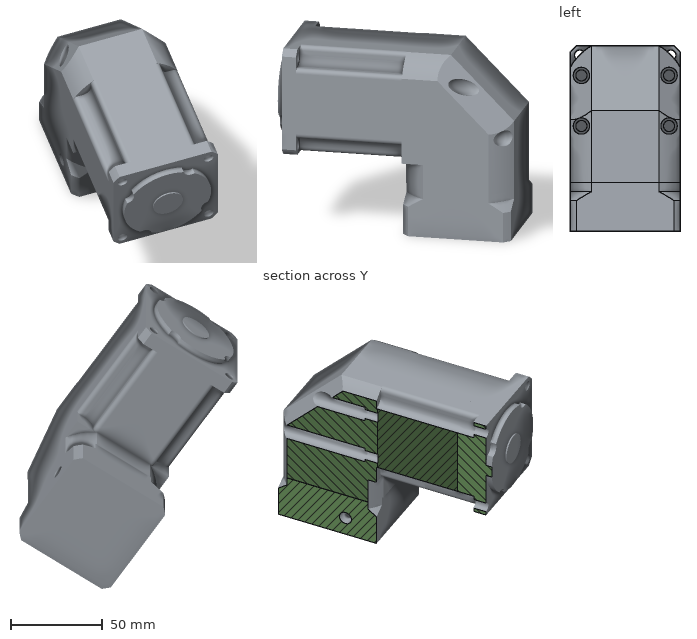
import cadquery as cq
import math


width = 60.0
half = width / 2
total_height = 101.0
axis_height = total_height - half
input_reach = 101.0
input_bottom = axis_height - half

slim_radius = 35.1
flange_radius = 40.0

base_height = 26.5
neck_start = 21.6
foot_height = neck_start - (flange_radius - slim_radius)
side_hole_radius = 3.5
side_hole_x = 10.9
side_hole_z = 11.0
side_hole_depth = 10.5

elbow_face = 30.5
groove_runout = 0.5
slope_run = 35.2
slope_chamfer = half - math.sqrt(slim_radius**2 - half**2)

screw_circle_radius = 27.5
screw_angle = 30.0
elbow_screw_angles = (screw_angle, 180 - screw_angle, 180 + screw_angle, -screw_angle)
head_radius = 4.5
screw_radius = 3.0
head_seat_thickness = 7.9

housing_end = 79.3
plate_start = 89.0
plate_end = 96.8
pilot_end = 100.2
pilot_radius = 25.0
scallop_radius = 4.6
scallop_count = 4
scallop_first_angle = 60.0
hub_radius = 8.5

bolt_inset = 5.2
groove_radius = 5.0
lip_radius = 2.6
groove_reach = bolt_inset + groove_radius
bolt_hole_radius = 2.8


def block(x0, x1, z0, z1):
    """Full-width block between two X and two Z positions."""
    return cq.Workplane("XY").box(x1 - x0, width, z1 - z0, centered=False).translate((x0, -half, z0))


def upright_cylinder(radius, z0, z1):
    return cq.Workplane("XY").workplane(offset=z0).circle(radius).extrude(z1 - z0)


def across_input(x):
    """Workplane square to the input axis at x, centred on that axis: local X is Y, local Y is Z."""
    return cq.Workplane("YZ", origin=(x, 0, axis_height))


def input_cylinder(radius, x0, x1):
    return across_input(x0).circle(radius).extrude(x1 - x0)


def corner_grooves(x0, x1):
    """Stock removed from the four corners of the input square between x0 and x1."""
    wall = half - groove_reach
    bolt = half - bolt_inset
    lip = half - lip_radius
    lip_end = wall - lip_radius
    arc_mid = lip_radius * math.sqrt(0.5)
    groove_mid = bolt - groove_radius * math.sqrt(0.5)
    outline = (
        across_input(x0)
        .moveTo(lip_end, half)
        .threePointArc((lip_end + arc_mid, lip + arc_mid), (wall, lip))
        .lineTo(wall, bolt)
        .threePointArc((groove_mid, groove_mid), (bolt, wall))
        .lineTo(lip, wall)
        .threePointArc((lip + arc_mid, lip_end + arc_mid), (half, lip_end))
        .lineTo(half, half)
        .close()
    )
    groove = outline.extrude(x1 - x0)
    axis_start = (0, 0, axis_height)
    axis_stop = (1, 0, axis_height)
    grooves = groove
    for turn in (90, 180, 270):
        grooves = grooves.union(groove.rotate(axis_start, axis_stop, turn))
    return grooves


def make_base():
    turned = (
        cq.Workplane("XZ")
        .polyline([
            (0, 0),
            (flange_radius, 0),
            (flange_radius, foot_height),
            (slim_radius, neck_start),
            (slim_radius, base_height),
            (0, base_height),
        ])
        .close()
        .revolve(360, (0, 0, 0), (0, 1, 0))
    )
    side_hole = (
        cq.Workplane("XZ", origin=(side_hole_x, -half, side_hole_z))
        .circle(side_hole_radius)
        .extrude(-side_hole_depth)
    )
    return block(-half, half, 0, base_height).intersect(turned).cut(side_hole)


def sloped_envelope():
    """Space under the elbow's slope, with both long edges of the slope chamfered."""
    size = 2 * total_height
    slope_middle = (-half + slope_run / 2, 0, total_height - slope_run / 2)
    slope_plane = cq.Plane(origin=slope_middle, xDir=(0, 1, 0), normal=(-1, 0, 1))
    return (
        cq.Workplane(slope_plane)
        .rect(width, size)
        .extrude(-size)
        .faces(cq.selectors.DirectionNthSelector(cq.Vector(-1, 0, 1), -1))
        .edges(cq.selectors.ParallelDirSelector(cq.Vector(1, 0, 1)))
        .chamfer(slope_chamfer)
    )


def elbow_screw_holes():
    head_seat = elbow_face - head_seat_thickness
    holes = cq.Workplane("XY")
    for angle in elbow_screw_angles:
        y = screw_circle_radius * math.cos(math.radians(angle))
        z = screw_circle_radius * math.sin(math.radians(angle))
        holes = holes.union(input_cylinder(head_radius, -half, head_seat).translate((0, y, z)))
        holes = holes.union(input_cylinder(screw_radius, head_seat, elbow_face).translate((0, y, z)))
    return holes


def make_elbow():
    lower = block(-half, elbow_face, base_height, input_bottom).intersect(
        upright_cylinder(slim_radius, base_height, input_bottom)
    )
    outer = block(-half, 0, input_bottom, total_height).intersect(
        upright_cylinder(slim_radius, input_bottom, total_height)
    )
    upper = outer.union(block(0, elbow_face, input_bottom, total_height))
    top_rounding = input_cylinder(slim_radius, -half, elbow_face).union(
        block(-half, elbow_face, input_bottom, axis_height)
    )
    upper = upper.intersect(top_rounding)
    return (
        lower.union(upper)
        .intersect(sloped_envelope())
        .cut(elbow_screw_holes())
        .cut(corner_grooves(elbow_face - groove_runout, elbow_face))
    )


def make_input_housing():
    housing = block(elbow_face, housing_end, input_bottom, total_height)
    return housing.cut(corner_grooves(elbow_face, housing_end))


def make_pilot():
    pilot = input_cylinder(pilot_radius, plate_end, pilot_end)
    scallops = (
        across_input(plate_end)
        .polarArray(screw_circle_radius, scallop_first_angle, 360, scallop_count)
        .circle(scallop_radius)
        .extrude(pilot_end - plate_end)
    )
    return pilot.cut(scallops)


def make_input_flange():
    plate = block(housing_end, plate_end, input_bottom, total_height).intersect(
        input_cylinder(flange_radius, housing_end, plate_end)
    )
    bolt_spacing = width - 2 * bolt_inset
    bolt_holes = (
        across_input(plate_start)
        .rect(bolt_spacing, bolt_spacing, forConstruction=True)
        .vertices()
        .circle(bolt_hole_radius)
        .extrude(plate_end - plate_start)
    )
    hub = input_cylinder(hub_radius, pilot_end, input_reach)
    return (
        plate.cut(corner_grooves(housing_end, plate_start))
        .cut(bolt_holes)
        .union(make_pilot())
        .union(hub)
    )


base = make_base()
elbow = make_elbow()
input_housing = make_input_housing()
input_flange = make_input_flange()

result = cq.Compound.makeCompound([
    base.val(),
    elbow.val(),
    input_housing.val(),
    input_flange.val(),
])